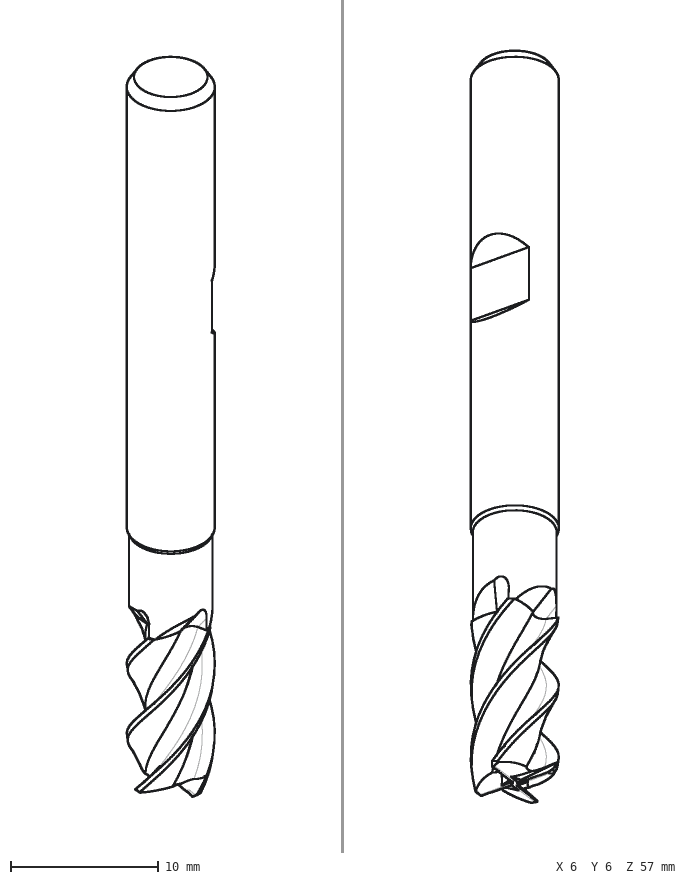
import cadquery as cq
import math

TOTAL_LENGTH = 57.0
DIAMETER = 6.0
RADIUS = DIAMETER / 2
CUTTING_LENGTH = 13.0

NECK_RADIUS = 2.85
NECK_TOP = 20.1
SHOULDER_HEIGHT = 0.3
SHANK_CHAMFER_WIDTH = 0.5
SHANK_CHAMFER_HEIGHT = 0.8

FLAT_DEPTH = 1.2
FLAT_LENGTH = 4.2
FLAT_CENTRE_FROM_TOP = 18.0

TOOTH_COUNT = 4
TOOTH_ANGLE = 360 / TOOTH_COUNT
HELIX_LEAD = 22.75
LAND_END = (2.9, 0.44)
RELIEF_BULGE = 0.12
HEEL = (1.0, 1.42)
RAKE_FOOT = (2.15, 0.04)

CORNER_CHAMFER = 0.25
END_LAND = 0.2
END_RELIEF_ANGLE = 18.0
GASH_START = 0.3
GASH_START_HEIGHT = 0.4
GASH_END_HEIGHT = 1.4
GASH_WIDTH = 1.0
GASH_LEAN = 2 * math.pi * RADIUS / HELIX_LEAD

RUNOUT_STEEPNESS = 1.38
RUNOUT_HEIGHT = 3.5
OUTSIDE = 2 * RADIUS


def turned(point, angle):
    """Turn a point about the tool axis by an angle in degrees."""
    a = math.radians(angle)
    u, v = point
    return (u * math.cos(a) - v * math.sin(a), u * math.sin(a) + v * math.cos(a))


def relief_middle():
    """Middle of the relief face, swollen outward from its chord."""
    du = HEEL[0] - LAND_END[0]
    dv = HEEL[1] - LAND_END[1]
    chord = math.hypot(du, dv)
    return (
        (HEEL[0] + LAND_END[0]) / 2 + RELIEF_BULGE * dv / chord,
        (HEEL[1] + LAND_END[1]) / 2 - RELIEF_BULGE * du / chord,
    )


def flute_middle():
    """Middle of the flute arc, which is tangent to u at the rake foot and ends at the heel."""
    heel_u, heel_v = turned(HEEL, -TOOTH_ANGLE)
    foot_u, foot_v = RAKE_FOOT
    du = foot_u - heel_u
    dv = foot_v - heel_v
    arc_radius = (du**2 + dv**2) / (2 * dv)
    centre_v = foot_v - arc_radius
    start = math.pi / 2
    end = math.atan2(heel_v - centre_v, heel_u - foot_u) % (2 * math.pi)
    middle = (start + end) / 2
    return (foot_u + arc_radius * math.cos(middle), centre_v + arc_radius * math.sin(middle))


def add_relief_and_flute(sketch, angle):
    """From the land end of the tooth at this angle, draw on to the next cutting edge."""
    next_angle = angle + TOOTH_ANGLE
    return (
        sketch.threePointArc(turned(relief_middle(), angle), turned(HEEL, angle))
        .threePointArc(turned(flute_middle(), next_angle), turned(RAKE_FOOT, next_angle))
        .lineTo(*turned((RADIUS, 0), next_angle))
    )


def fluted_blank():
    sketch = cq.Workplane("XY").moveTo(RADIUS, 0)
    for i in range(TOOTH_COUNT):
        angle = i * TOOTH_ANGLE
        sketch = add_relief_and_flute(sketch.lineTo(*turned(LAND_END, angle)), angle)
    return sketch.close().twistExtrude(CUTTING_LENGTH, 360 * CUTTING_LENGTH / HELIX_LEAD)


def end_envelope():
    """Turned envelope with a chamfered corner and a flat end face."""
    return (
        cq.Workplane("XZ")
        .moveTo(0, 0)
        .lineTo(RADIUS - CORNER_CHAMFER, 0)
        .lineTo(RADIUS, CORNER_CHAMFER)
        .lineTo(RADIUS, CUTTING_LENGTH)
        .lineTo(0, CUTTING_LENGTH)
        .close()
        .revolve(360, (0, 0, 0), (0, 1, 0))
    )


def end_relief(angle):
    """Wedge that slopes the end face of one tooth up behind its flat land."""
    rise = RADIUS * math.tan(math.radians(END_RELIEF_ANGLE))
    return (
        cq.Workplane("YZ")
        .polyline([(END_LAND, 0), (END_LAND + RADIUS, 0), (END_LAND + RADIUS, rise)])
        .close()
        .extrude(RADIUS)
        .rotate((0, 0, 0), (0, 0, 1), angle)
    )


def gash_section(radius, height):
    """Triangle with one side leaning back from the end edge at the slope of the helix."""
    corners = [(0, 0), (GASH_LEAN * height, height), (-GASH_WIDTH, 0)]
    return cq.Wire.makePolygon([cq.Vector(radius, v, z) for v, z in corners], close=True)


def end_gash(angle):
    """Notch ahead of one end tooth, deepening outward from near the axis."""
    inner = gash_section(GASH_START, GASH_START_HEIGHT)
    outer = gash_section(RADIUS, GASH_END_HEIGHT)
    gash = cq.Solid.makeLoft([inner, outer], True)
    return cq.Workplane(gash.rotate(cq.Vector(0, 0, 0), cq.Vector(0, 0, 1), angle))


def make_cutting_end():
    body = fluted_blank().intersect(end_envelope())
    for i in range(TOOTH_COUNT):
        body = body.cut(end_relief(i * TOOTH_ANGLE))
        body = body.cut(end_gash(i * TOOTH_ANGLE))
    return body


def flute_runout(angle):
    """Flute ahead of one cutting edge, slanting out of the neck along the rake face."""
    previous = angle - TOOTH_ANGLE
    outline = cq.Workplane("XY", origin=(0, 0, CUTTING_LENGTH)).moveTo(*turned(LAND_END, previous))
    outline = (
        add_relief_and_flute(outline, previous)
        .lineTo(*turned((OUTSIDE, 0), angle))
        .lineTo(*turned((OUTSIDE, -OUTSIDE), angle))
        .lineTo(*turned((LAND_END[1], -OUTSIDE), angle))
        .close()
    )
    outward = turned((RUNOUT_HEIGHT / RUNOUT_STEEPNESS, 0), angle)
    direction = cq.Vector(*outward, RUNOUT_HEIGHT)
    return cq.Workplane(cq.Solid.extrudeLinear(outline.val(), [], direction))


def clamping_flat():
    """Trapezoidal notch with 45 degree ends."""
    centre = TOTAL_LENGTH - FLAT_CENTRE_FROM_TOP
    half_floor = FLAT_LENGTH / 2
    floor = RADIUS - FLAT_DEPTH
    half_mouth = half_floor + FLAT_DEPTH
    return (
        cq.Workplane("YZ")
        .polyline([
            (floor, centre - half_floor),
            (RADIUS, centre - half_mouth),
            (RADIUS, centre + half_mouth),
            (floor, centre + half_floor),
        ])
        .close()
        .extrude(RADIUS, both=True)
    )


def make_shank():
    body = (
        cq.Workplane("XZ")
        .moveTo(0, CUTTING_LENGTH)
        .lineTo(NECK_RADIUS, CUTTING_LENGTH)
        .lineTo(NECK_RADIUS, NECK_TOP)
        .lineTo(RADIUS, NECK_TOP + SHOULDER_HEIGHT)
        .lineTo(RADIUS, TOTAL_LENGTH - SHANK_CHAMFER_HEIGHT)
        .lineTo(RADIUS - SHANK_CHAMFER_WIDTH, TOTAL_LENGTH)
        .lineTo(0, TOTAL_LENGTH)
        .close()
        .revolve(360, (0, 0, 0), (0, 1, 0))
        .cut(clamping_flat())
    )
    last_edge_angle = 360 * CUTTING_LENGTH / HELIX_LEAD
    for i in range(TOOTH_COUNT):
        body = body.cut(flute_runout(last_edge_angle + i * TOOTH_ANGLE))
    return body


cutting_end = make_cutting_end()
shank = make_shank()

result = cq.Compound.makeCompound([cutting_end.val(), shank.val()])